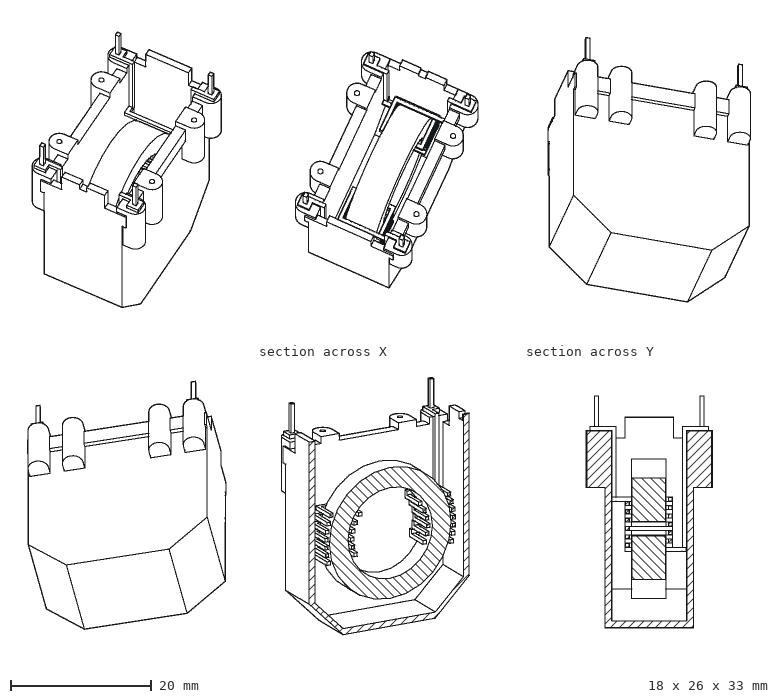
import cadquery as cq
import math

FACETS = 24

HOUSING_LENGTH = 26.0
BODY_WIDTH = 12.6
WALL = 1.0
FLOOR_LENGTH = 14.9
RIM_WIDTH = 13.85
RIM_BOTTOM = 24.5
RIM_TOP = 27.03

TAB_WIDTH = 6.93
TAB_TOP = 29.95
NOTCH_WIDTH = 1.12
NOTCH_DEPTH = 1.0

OVERALL_WIDTH = 18.0
POST_WIDTH = 2.97
POST_BOTTOM = 19.93
POST_TOP = 28.05
CORNER_POST_Y = 11.3
SCREW_POST_Y = 6.27
SCREW_HOLE_DIAMETER = 0.73
SCREW_HOLE_DEPTH = 3.95

WOUND_X = -0.05
WOUND_Y = -0.15
CORE_Z = 14.1
CORE_RADIUS = 9.9
CORE_HOLE_RADIUS = 6.8
CORE_THICKNESS = 4.9

WIRE = 0.6
COIL_TOP = 18.58
COIL_LEVELS = 13
COIL_WIDTH = 6.73
OUTER_WINDING_RADIUS = 10.03
INNER_WINDING_RADIUS = 6.47

PIN_TOP = 33.0
WRAP_LENGTH = 1.85
WRAP_WIDTH = 1.7

CAVITY_WIDTH = BODY_WIDTH - 2 * WALL
CAVITY_LENGTH = HOUSING_LENGTH - 2 * WALL
BEVEL_HEIGHT = (HOUSING_LENGTH - FLOOR_LENGTH) / 2
POST_X = OVERALL_WIDTH / 2 - POST_WIDTH / 2
WRAP_TOP = POST_TOP + WIRE
LEAD_NEAR_Y = CORNER_POST_Y - WRAP_WIDTH / 2
LEAD_FAR_Y = LEAD_NEAR_Y + WIRE
LEAD_END_X = CAVITY_WIDTH / 2

END_LEVEL = {-1: 0, 1: COIL_LEVELS - 1}


def block(x_range, y_range, z_range):
    """Box spanning three ranges, whose ends may come in either order."""
    sizes = [abs(end - start) for start, end in (x_range, y_range, z_range)]
    corner = (min(x_range), min(y_range), min(z_range))
    return cq.Workplane("XY").box(*sizes, centered=False).translate(corner)


def bevelled_prism(width, length, bottom, top):
    """Prism along X whose lower ends slope in to a shorter floor."""
    return (
        cq.Workplane("YZ", origin=(-width / 2, 0, 0))
        .moveTo(-length / 2, top)
        .lineTo(-length / 2, BEVEL_HEIGHT)
        .lineTo(-FLOOR_LENGTH / 2, bottom)
        .lineTo(FLOOR_LENGTH / 2, bottom)
        .lineTo(length / 2, BEVEL_HEIGHT)
        .lineTo(length / 2, top)
        .close()
        .extrude(width)
    )


def post(side, y):
    """Upright post on one side wall, with a faceted half-round outer side."""
    straight = block(
        (side * CAVITY_WIDTH / 2, side * POST_X),
        (y - POST_WIDTH / 2, y + POST_WIDTH / 2),
        (POST_BOTTOM, POST_TOP),
    )
    rounded = (
        cq.Workplane("XY", origin=(side * POST_X, y, POST_BOTTOM))
        .polygon(FACETS, POST_WIDTH)
        .extrude(POST_TOP - POST_BOTTOM)
    )
    return straight.union(rounded)


def make_housing():
    body = bevelled_prism(BODY_WIDTH, HOUSING_LENGTH, 0, RIM_TOP)
    rim = block(
        (-RIM_WIDTH / 2, RIM_WIDTH / 2),
        (-HOUSING_LENGTH / 2, HOUSING_LENGTH / 2),
        (RIM_BOTTOM, RIM_TOP),
    )
    tabs = block(
        (-TAB_WIDTH / 2, TAB_WIDTH / 2),
        (-HOUSING_LENGTH / 2, HOUSING_LENGTH / 2),
        (RIM_TOP, TAB_TOP),
    )
    cavity = bevelled_prism(CAVITY_WIDTH, CAVITY_LENGTH, WALL, TAB_TOP)
    notch = block(
        (-NOTCH_WIDTH / 2, NOTCH_WIDTH / 2),
        (-HOUSING_LENGTH / 2, -CAVITY_LENGTH / 2),
        (TAB_TOP - NOTCH_DEPTH, TAB_TOP),
    )
    housing = body.union(rim).union(tabs)
    for side in (-1, 1):
        for y in (-CORNER_POST_Y, -SCREW_POST_Y, SCREW_POST_Y, CORNER_POST_Y):
            housing = housing.union(post(side, y))
    screw_holes = (
        cq.Workplane("XY", origin=(0, 0, POST_TOP))
        .rect(2 * POST_X, 2 * SCREW_POST_Y, forConstruction=True)
        .vertices()
        .circle(SCREW_HOLE_DIAMETER / 2)
        .extrude(-SCREW_HOLE_DEPTH)
    )
    return housing.cut(cavity).cut(notch).cut(screw_holes)


def make_core():
    return (
        cq.Workplane("YZ", origin=(WOUND_X - CORE_THICKNESS / 2, WOUND_Y, CORE_Z))
        .polygon(FACETS, 2 * CORE_RADIUS)
        .polygon(FACETS, 2 * CORE_HOLE_RADIUS)
        .extrude(CORE_THICKNESS)
    )


def level_span(level):
    """Bottom and top of one wire level, counted down from the top of the coil."""
    top = COIL_TOP - level * WIRE
    return top - WIRE, top


def outer_face(level):
    """Distance from the core axis to the outer face of an outer bar that clears the core."""
    nearest = min(abs(z - CORE_Z) for z in level_span(level))
    return math.sqrt(OUTER_WINDING_RADIUS**2 - nearest**2) + WIRE


def inner_face(level):
    """Distance from the core axis to the axis-side face of an inner bar inside the core hole."""
    farthest = max(abs(z - CORE_Z) for z in level_span(level))
    return math.sqrt(INNER_WINDING_RADIUS**2 - farthest**2) - WIRE


def make_terminal(side, end):
    """Pin, wrapped foot, lead over the corner post and leg down the side wall to the coil."""
    pin_x = side * POST_X
    pin_y = end * CORNER_POST_Y
    lead_x = (side * (LEAD_END_X - WIRE), side * LEAD_END_X)
    lead_y = (end * LEAD_NEAR_Y, end * LEAD_FAR_Y)
    leg_bottom = level_span(END_LEVEL[side])[1]
    foot = cq.Workplane("XY", origin=(pin_x, pin_y, POST_TOP))
    pin = foot.rect(WIRE, WIRE).extrude(PIN_TOP - POST_TOP)
    wrap = foot.rect(WRAP_LENGTH, WRAP_WIDTH).extrude(WIRE)
    lead = block((pin_x, lead_x[0]), lead_y, (POST_TOP, WRAP_TOP))
    leg = block(lead_x, lead_y, (leg_bottom, WRAP_TOP))
    return pin.union(wrap).union(lead).union(leg)


def make_coil(end):
    """Stepped coil round one end of the core, joined to the terminal on its -X side."""
    left = WOUND_X - COIL_WIDTH / 2
    right = WOUND_X + COIL_WIDTH / 2
    coil = make_terminal(-1, end)

    for level in range(COIL_LEVELS):
        span = level_span(level)
        if level % 2 == 0:
            far = outer_face(level)
            near = inner_face(level + 1)
            bar_range = (far - WIRE, far)
            side_x = (right - WIRE, right)
        else:
            far = min(outer_face(level - 1), outer_face(level + 1))
            near = inner_face(level)
            bar_range = (near, near + WIRE)
            side_x = (left, left + WIRE)
        bar_y = [WOUND_Y + end * distance for distance in bar_range]
        side_y = [WOUND_Y + end * distance for distance in (near, far)]
        coil = coil.union(block((left, right), bar_y, span))
        if level < COIL_LEVELS - 1:
            coil = coil.union(block(side_x, side_y, span))

    for side, start, shift_x, shift_y in ((-1, left, 0, 0), (1, right, WOUND_X, WOUND_Y)):
        span = level_span(END_LEVEL[side])
        wall_x = side * LEAD_END_X + shift_x
        far = WOUND_Y + end * outer_face(END_LEVEL[side])
        near = far - end * WIRE
        coil = coil.union(block((start, wall_x), (near, far), span))
        coil = coil.union(block((wall_x - side * WIRE, wall_x), (near, end * LEAD_FAR_Y + shift_y), span))
    return coil


housing = make_housing()
core = make_core()
coils = [make_coil(end) for end in (-1, 1)]
loose_terminals = [make_terminal(1, end) for end in (-1, 1)]

bodies = [housing, core, *coils, *loose_terminals]
result = cq.Compound.makeCompound([body.val() for body in bodies])